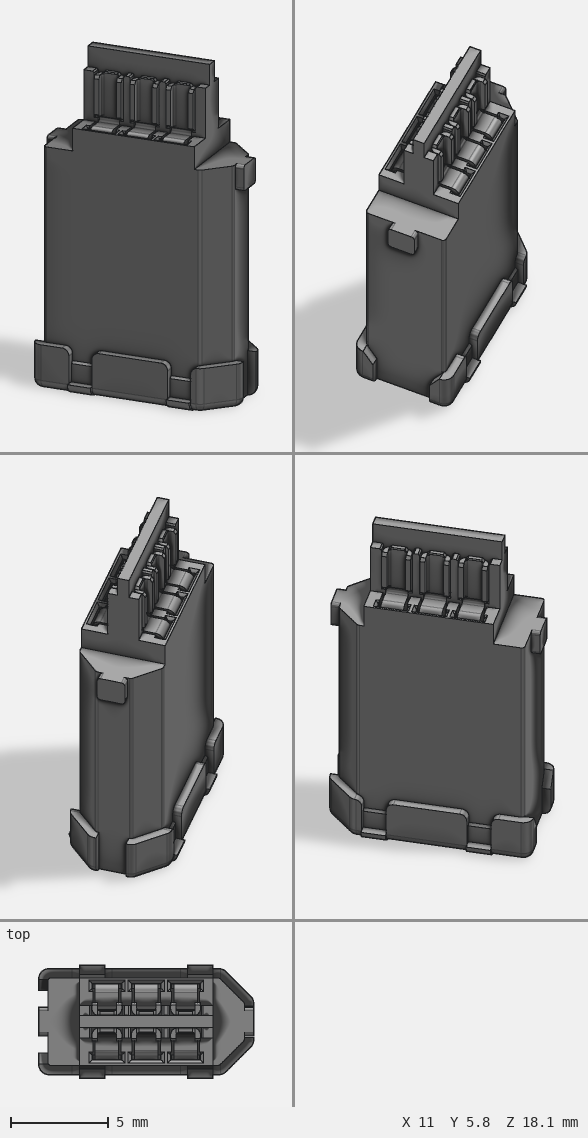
import cadquery as cq
import math

BODY_HALF_X = 5.03
BODY_HALF_Y = 2.25
BODY_TOP = 13.03
NOSE_START_X = 3.73
BODY_CORNER_RADIUS = 0.18
NOSE_RADIUS = 0.25

COLLAR_WALL = 0.47
COLLAR_TOP = 2.4
COLLAR_CORNER_RADIUS = 0.55
COLLAR_FOOT_RADIUS = 0.47
REAR_GAP_HALF_Y = 1.6
REAR_SLANT_HALF_Y = 2.15
REAR_SLANT_DROP = 0.81
NOSE_GAP_HALF_Y = 0.8

WINDOW_INNER_X = 2.12
WINDOW_OUTER_X = 3.4
WINDOW_LIP_RADIUS = 0.38
LATCH_HALF_Y = 2.9
LATCH_RADIUS = 0.52
PAD_HALF_Y = 2.4
PAD_TOP = 1.63
PAD_CHAMFER_HEIGHT = 0.1

TAB_HALF_Y = 0.75
TAB_HEIGHT = 1.4
TAB_EDGE_RADIUS = 0.18

HEAD_HALF_X = WINDOW_OUTER_X
SHOULDER_TOP = 14.26
WALL_HALF_Y = 0.83
WALL_TOP = 16.98
BLADE_HALF_Y = 0.3
BLADE_TOP = 18.1

CONTACT_COUNT = 3
CONTACT_PITCH = 2.01
RECESS_HALF_X = 0.81
RECESS_RIM_CHAMFER = 0.081
RECESS_BOTTOM = 14.48
CHANNEL_FLOOR_Y = 0.58
CHANNEL_INNER_HALF_X = 0.49
CHANNEL_INNER_RADIUS = 0.13
CHANNEL_HALF_X = 0.76
CHANNEL_OUTER_RADIUS = 0.36
WEB_TOP = 16.95
WEB_BEVEL = 0.05
FLANGE_Y = 0.98
FLANGE_BOTTOM = 14.57
FLANGE_TOP = 16.81
FLANGE_BEVEL_TOP = 0.18
FLANGE_BEVEL_BOTTOM = 0.13
FLANGE_BEVEL_DEPTH = 0.13
STRIP_HALF_X = 0.6
STRIP_BEND_Y = 1.48
STRIP_BEND_RADIUS = 0.45
STRIP_EAR_HALF_X = 0.72
STRIP_EAR_WIDTH = 0.24
STRIP_EAR_DROP = 0.45

POCKET_DEPTH = 0.72
POCKET_OUTER_Y = 2.12
POCKET_STEP_Y = 1.54
POCKET_HALF_X = 0.92
POCKET_NECK_HALF_X = 0.72
POCKET_LEAD_IN = 0.16


def box(x0, x1, y0, y1, z0, z1):
    """Box between two opposite corners."""
    return cq.Workplane("XY").box(x1 - x0, y1 - y0, z1 - z0, centered=False).translate((x0, y0, z0))


def yz_prism(points, x0, x1):
    """Prism along X with a polygonal section of (y, z) points."""
    return cq.Workplane("YZ").polyline(points).close().extrude(x1 - x0).translate((x0, 0, 0))


def both_sides(shape):
    """The shape together with its mirror image across the XZ plane."""
    return shape.union(shape.mirror("XZ"))


def nosed_block(growth, height, rear_radius, nose_radius):
    """Block with a 45 degree nose on +X, its outline grown outward evenly by the given amount."""
    half_x = BODY_HALF_X + growth
    half_y = BODY_HALF_Y + growth
    nose_x = NOSE_START_X + growth * math.tan(math.pi / 8)
    nose_y = half_y - (half_x - nose_x)
    outline = [
        (-half_x, -half_y),
        (nose_x, -half_y),
        (half_x, -nose_y),
        (half_x, nose_y),
        (nose_x, half_y),
        (-half_x, half_y),
    ]
    block = cq.Workplane("XY").polyline(outline).close().extrude(height)
    block = block.edges("|Z").edges("not <X").fillet(nose_radius)
    return block.edges("|Z and <X").fillet(rear_radius)


def collar_window(x0, x1):
    """Cutter for one collar window, flaring out in a rounded lip at the collar top."""
    r = WINDOW_LIP_RADIUS
    return (
        cq.Workplane("XZ")
        .moveTo(x0, 0)
        .lineTo(x1, 0)
        .lineTo(x1, COLLAR_TOP - r)
        .radiusArc((x1 + r, COLLAR_TOP), r)
        .lineTo(x0 - r, COLLAR_TOP)
        .radiusArc((x0, COLLAR_TOP - r), r)
        .close()
        .extrude(2 * LATCH_HALF_Y, both=True)
    )


def make_collar():
    collar = nosed_block(COLLAR_WALL, COLLAR_TOP, COLLAR_CORNER_RADIUS, COLLAR_CORNER_RADIUS)
    collar = collar.faces("<Z").edges().fillet(COLLAR_FOOT_RADIUS)
    outer_x = BODY_HALF_X + COLLAR_WALL
    slant_z = COLLAR_TOP - REAR_SLANT_DROP
    rear_gap = [
        (-REAR_GAP_HALF_Y, 0),
        (REAR_GAP_HALF_Y, 0),
        (REAR_GAP_HALF_Y, slant_z),
        (REAR_SLANT_HALF_Y, COLLAR_TOP),
        (-REAR_SLANT_HALF_Y, COLLAR_TOP),
        (-REAR_GAP_HALF_Y, slant_z),
    ]
    collar = collar.cut(yz_prism(rear_gap, -outer_x, -BODY_HALF_X))
    collar = collar.cut(box(BODY_HALF_X, outer_x, -NOSE_GAP_HALF_Y, NOSE_GAP_HALF_Y, 0, COLLAR_TOP))
    for x0, x1 in WINDOWS:
        collar = collar.cut(collar_window(x0, x1))
    return collar


def make_latch(x0, x1):
    """Latch with a rounded underside, and the bevelled pad above it, on both sides."""
    latch = (
        cq.Workplane("YZ")
        .moveTo(0, 0)
        .lineTo(LATCH_HALF_Y - LATCH_RADIUS, 0)
        .radiusArc((LATCH_HALF_Y, LATCH_RADIUS), -LATCH_RADIUS)
        .lineTo(PAD_HALF_Y, LATCH_RADIUS)
        .lineTo(PAD_HALF_Y, PAD_TOP - PAD_CHAMFER_HEIGHT)
        .lineTo(BODY_HALF_Y, PAD_TOP)
        .lineTo(0, PAD_TOP)
        .close()
        .extrude(x1 - x0)
        .translate((x0, 0, 0))
    )
    return both_sides(latch)


def make_tabs():
    outer_x = BODY_HALF_X + COLLAR_WALL
    tabs = box(-outer_x, outer_x, -TAB_HALF_Y, TAB_HALF_Y, BODY_TOP - TAB_HEIGHT, BODY_TOP)
    return tabs.edges("|X").fillet(TAB_EDGE_RADIUS)


def make_head():
    head = box(-HEAD_HALF_X, HEAD_HALF_X, -BODY_HALF_Y, BODY_HALF_Y, 0, SHOULDER_TOP)
    head = head.union(box(-HEAD_HALF_X, HEAD_HALF_X, -WALL_HALF_Y, WALL_HALF_Y, 0, WALL_TOP))
    return head.union(box(-HEAD_HALF_X, HEAD_HALF_X, -BLADE_HALF_Y, BLADE_HALF_Y, 0, BLADE_TOP))


def make_cavity():
    """Space around one +Y contact: shoulder pocket with lead-in, and recess in the wall."""
    floor = SHOULDER_TOP - POCKET_DEPTH
    lead = POCKET_LEAD_IN
    wide = box(
        -POCKET_HALF_X + lead, POCKET_HALF_X - lead, POCKET_STEP_Y, POCKET_OUTER_Y - lead,
        floor, SHOULDER_TOP,
    )
    mouth_y = POCKET_OUTER_Y - POCKET_STEP_Y
    mouth = (
        cq.Workplane("XY", origin=(0, POCKET_STEP_Y + mouth_y / 2, SHOULDER_TOP))
        .rect(2 * POCKET_HALF_X, mouth_y)
        .extrude(-lead, taper=45)
    )
    neck = box(
        -POCKET_NECK_HALF_X, POCKET_NECK_HALF_X, WALL_HALF_Y, POCKET_STEP_Y, floor, SHOULDER_TOP
    )
    recess = box(
        -RECESS_HALF_X, RECESS_HALF_X, BLADE_HALF_Y, WALL_HALF_Y, RECESS_BOTTOM, WALL_TOP
    )
    rim = RECESS_RIM_CHAMFER
    recess = recess.union(
        cq.Workplane("XZ")
        .polyline([
            (-RECESS_HALF_X - rim, WALL_TOP),
            (RECESS_HALF_X + rim, WALL_TOP),
            (RECESS_HALF_X, WALL_TOP - rim),
            (-RECESS_HALF_X, WALL_TOP - rim),
        ])
        .close()
        .extrude(BLADE_HALF_Y - WALL_HALF_Y)
        .translate((0, BLADE_HALF_Y, 0))
    )
    ramp_radius = RECESS_BOTTOM - SHOULDER_TOP
    ramp_clearance = (
        cq.Workplane("YZ")
        .moveTo(WALL_HALF_Y, RECESS_BOTTOM)
        .lineTo(WALL_HALF_Y, SHOULDER_TOP)
        .radiusArc((WALL_HALF_Y - ramp_radius, RECESS_BOTTOM), ramp_radius)
        .close()
        .extrude(STRIP_HALF_X, both=True)
    )
    return wide.union(mouth).union(neck).union(recess).union(ramp_clearance)


def make_contact():
    """One +Y contact: an upright channel, and a strip that bends down into the pocket."""
    web_taper = WEB_TOP - FLANGE_TOP
    web = (
        cq.Workplane("XZ", origin=(0, BLADE_HALF_Y, 0))
        .polyline([
            (-CHANNEL_INNER_HALF_X, RECESS_BOTTOM),
            (CHANNEL_INNER_HALF_X, RECESS_BOTTOM),
            (CHANNEL_INNER_HALF_X, FLANGE_TOP),
            (CHANNEL_INNER_HALF_X - web_taper, WEB_TOP),
            (-CHANNEL_INNER_HALF_X + web_taper, WEB_TOP),
            (-CHANNEL_INNER_HALF_X, FLANGE_TOP),
        ])
        .close()
        .extrude(BLADE_HALF_Y - CHANNEL_FLOOR_Y)
    )
    web = web.faces(">Z").edges(">Y").chamfer(WEB_BEVEL)

    channel = box(
        -CHANNEL_HALF_X, CHANNEL_HALF_X, BLADE_HALF_Y, FLANGE_Y, FLANGE_BOTTOM, FLANGE_TOP
    )
    channel = channel.edges("|Z and <Y").fillet(CHANNEL_OUTER_RADIUS)
    groove = box(
        -CHANNEL_INNER_HALF_X, CHANNEL_INNER_HALF_X, CHANNEL_FLOOR_Y, FLANGE_Y,
        FLANGE_BOTTOM, FLANGE_TOP,
    )
    channel = channel.cut(groove.edges("|Z and <Y").fillet(CHANNEL_INNER_RADIUS))
    side_profile = [
        (BLADE_HALF_Y, FLANGE_BOTTOM),
        (FLANGE_Y - FLANGE_BEVEL_DEPTH, FLANGE_BOTTOM),
        (FLANGE_Y, FLANGE_BOTTOM + FLANGE_BEVEL_BOTTOM),
        (FLANGE_Y, FLANGE_TOP - FLANGE_BEVEL_TOP),
        (FLANGE_Y - FLANGE_BEVEL_DEPTH, FLANGE_TOP),
        (BLADE_HALF_Y, FLANGE_TOP),
    ]
    channel = channel.intersect(yz_prism(side_profile, -CHANNEL_HALF_X, CHANNEL_HALF_X))

    bend_end_y = STRIP_BEND_Y + STRIP_BEND_RADIUS
    floor = SHOULDER_TOP - POCKET_DEPTH
    strip = (
        cq.Workplane("YZ")
        .moveTo(WALL_HALF_Y, floor)
        .lineTo(WALL_HALF_Y, SHOULDER_TOP)
        .lineTo(STRIP_BEND_Y, SHOULDER_TOP)
        .radiusArc((bend_end_y, SHOULDER_TOP - STRIP_BEND_RADIUS), STRIP_BEND_RADIUS)
        .lineTo(bend_end_y, floor)
        .close()
        .extrude(STRIP_HALF_X, both=True)
    )
    ears = box(
        -STRIP_EAR_HALF_X, STRIP_EAR_HALF_X, bend_end_y - STRIP_EAR_WIDTH, bend_end_y,
        floor, SHOULDER_TOP - STRIP_EAR_DROP,
    )
    return web.union(channel).union(strip).union(ears)


WINDOWS = [(-WINDOW_OUTER_X, -WINDOW_INNER_X), (WINDOW_INNER_X, WINDOW_OUTER_X)]
CONTACT_XS = [(i - (CONTACT_COUNT - 1) / 2) * CONTACT_PITCH for i in range(CONTACT_COUNT)]

result = nosed_block(0, BODY_TOP, BODY_CORNER_RADIUS, NOSE_RADIUS)
result = result.union(make_collar())
for x0, x1 in WINDOWS:
    result = result.union(make_latch(x0, x1))
result = result.union(make_tabs()).union(make_head())

cavity = both_sides(make_cavity())
contact = both_sides(make_contact())
for x in CONTACT_XS:
    result = result.cut(cavity.translate((x, 0, 0)))
    result = result.union(contact.translate((x, 0, 0)))